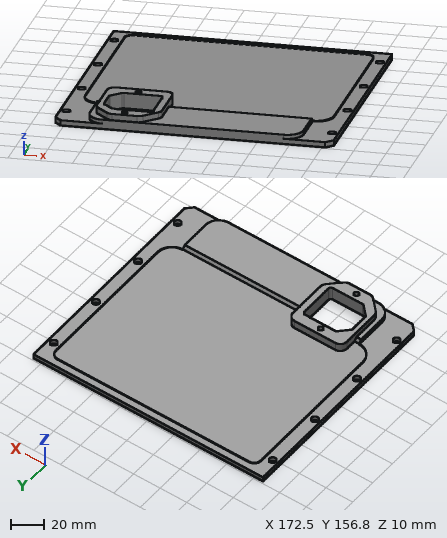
import cadquery as cq

plate_width = 172.5
plate_depth = 156.8
plate_thickness = 3.5
plate_chamfer = 4.3

panel_top = 4.0
pad_top = 6.0
collar_top = 10.0

panel_half_width = 77.1
panel_front = 33.0
panel_back = plate_depth - 5.2
panel_front_radius = 10.9
panel_back_radius = 5.2

pad_half_width = panel_half_width - panel_front_radius
pad_radius = 10.0
pad_slope_start = panel_front - (pad_top - panel_top)

collar_left = -62.8
collar_right = -22.3
collar_front = 0.5
collar_back = 45.5
collar_chamfer = 10.5
collar_radius = 5.0

opening_left = -59.2
opening_right = -27.3
opening_front = 9.7
opening_back = 37.5
opening_chamfer = 6.9
opening_radius = 1.7

collar_hole_diameter = 3.5
collar_hole_x = -43.5
collar_hole_ys = (5.0, 41.0)
plate_hole_diameter = 4.7
plate_hole_x = 82.3
plate_hole_ys = (16.5, 56.6, 99.0, 141.7)


def block(left, right, front, back, bottom, top):
    """Box given by its six faces."""
    return cq.Workplane("XY").box(
        right - left, back - front, top - bottom, centered=False
    ).translate((left, front, bottom))


def make_plate():
    plate = block(-plate_width / 2, plate_width / 2, 0, plate_depth, 0, plate_thickness)
    return plate.edges("|Z and <Y").chamfer(plate_chamfer)


def make_panel():
    panel = block(-panel_half_width, panel_half_width, panel_front, panel_back, plate_thickness, panel_top)
    panel = panel.edges("|Z and <Y").fillet(panel_front_radius)
    return panel.edges("|Z and >Y").fillet(panel_back_radius)


def make_pad():
    profile = [
        (0, plate_thickness),
        (panel_front, plate_thickness),
        (panel_front, panel_top),
        (pad_slope_start, pad_top),
        (0, pad_top),
    ]
    pad = cq.Workplane("YZ").polyline(profile).close().extrude(pad_half_width, both=True)
    return pad.edges("|Z and <Y").fillet(pad_radius)


def make_collar():
    collar = block(collar_left, collar_right, collar_front, collar_back, plate_thickness, collar_top)
    collar = collar.edges("|Z and <Y").chamfer(collar_chamfer)
    return collar.edges("|Z").fillet(collar_radius)


def make_opening():
    opening = block(opening_left, opening_right, opening_front, opening_back, 0, collar_top)
    opening = opening.edges("|Z and <X").chamfer(opening_chamfer)
    return opening.edges("|Z").fillet(opening_radius)


def make_holes(points, diameter):
    return cq.Workplane("XY").pushPoints(points).circle(diameter / 2).extrude(collar_top)


plate_hole_points = [(side * plate_hole_x, y) for side in (-1, 1) for y in plate_hole_ys]
collar_hole_points = [(collar_hole_x, y) for y in collar_hole_ys]

body = make_plate().union(make_panel()).union(make_pad()).union(make_collar())
body = body.cut(make_opening())
body = body.cut(make_holes(plate_hole_points, plate_hole_diameter))
result = body.cut(make_holes(collar_hole_points, collar_hole_diameter))